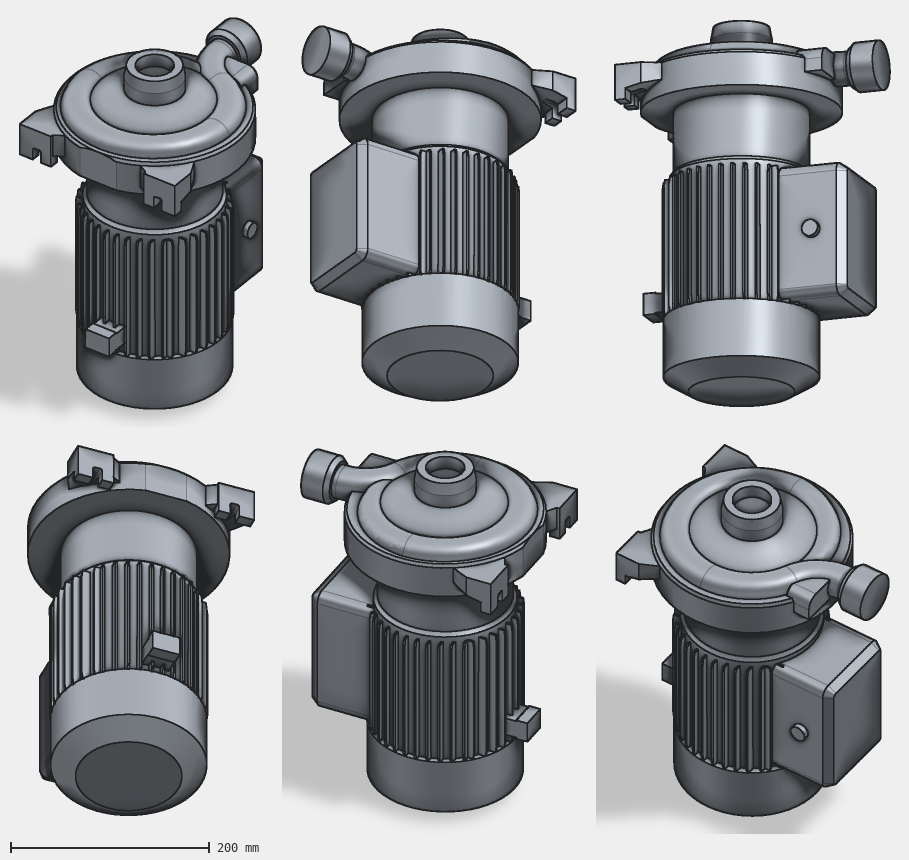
import cadquery as cq
import math


cowl_base_z = 15.0
cowl_top_z = 75.0
fins_top_z = 217.0
collar_edge_z = 223.0
collar_top_z = 227.0
flange_bottom_z = 292.0
flange_edge_z = 326.5
flange_top_z = 329.7
inlet_base_z = 352.0
inlet_taper_z = 367.0
total_height = 380.0

cowl_end_radius = 53.5
cowl_radius = 78.6
core_radius = 72.0
collar_radius = 72.4
bracket_radius = 68.6
flange_radius = 101.5
flange_chamfer_width = 2.5
inlet_radius = 31.0
inlet_tip_radius = 28.6
inlet_bore_radius = 19.5
inlet_bore_depth = 15.0

fin_count = 40
fin_thickness = 2.0
fin_circle_radius = 78.3
fin_bulge = 1.0
fin_end_length = 7.0
corner_fin_setback = 2.0

tube_radius = 17.4
volute_radius = 75.0
volute_left_radius = 78.0
volute_z = flange_edge_z
cover_cone_radius = 66.0
cover_cone_z = 337.6
tongue_section_count = 5
tongue_tube_radius = 12.0
tongue_path_radius = 71.0
discharge_angle = 66.0
coupling_radius = 25.3
coupling_neck_radius = 21.0
coupling_start_y = 120.0
coupling_chamfer_length = 5.5
discharge_end_y = 150.0

web_left_x = 15.0
web_right_x = 52.0
web_front_y = 77.7
web_back_y = 105.8
web_bottom_z = 312.0
web_top_z = 338.0
web_round_radius = 12.5

foot_face_y = -100.0
flange_flat_y = -99.0
foot_bottom_z = 289.6
foot_slot_x = 74.5
foot_slot_width = 10.0
foot_slot_top_z = 304.0
foot_slot_round = 3.0
foot_leg_back_y = -89.0
foot_outer_x = -95.6
foot_inner_x = -57.0
foot_side_y = -72.3
foot_back_x = -86.3
foot_root_x = -60.0
foot_gusset_x = -46.6
foot_gusset_back_y = -90.7
foot_gusset_front_y = -96.8
foot_back_y = -52.7
foot_shelf_front_z = 301.0
foot_shelf_back_z = 309.0

box_half_width = 48.0
box_front_y = 58.0
box_back_y = 129.0
box_bottom_z = 78.3
box_round_radius = 10.0
box_chamfer_depth = 9.2
box_chamfer_width = 6.5
gland_radius = 8.5
gland_end_x = 54.2

block_width = 29.0
block_bottom_z = 86.3
block_height = 22.4
block_step_y = -87.3
block_step_depth = 1.3


def box_between(x0, x1, y0, y1, z0, z1):
    return cq.Workplane("XY").box(x1 - x0, y1 - y0, z1 - z0, centered=False).translate((x0, y0, z0))


def turned_body():
    """Everything that is turned about the motor axis, except the volute."""
    profile = [
        (0, 0),
        (cowl_end_radius, 0),
        (cowl_radius, cowl_base_z),
        (cowl_radius, cowl_top_z),
        (core_radius, cowl_top_z),
        (collar_radius, collar_edge_z),
        (bracket_radius, collar_top_z),
        (bracket_radius, flange_bottom_z),
        (flange_radius, flange_bottom_z),
        (flange_radius, flange_edge_z),
        (flange_radius - flange_chamfer_width, flange_top_z),
        (cover_cone_radius, flange_top_z),
        (cover_cone_radius, cover_cone_z),
        (inlet_radius, inlet_base_z),
        (inlet_radius, inlet_taper_z),
        (inlet_tip_radius, total_height),
        (0, total_height),
    ]
    body = cq.Workplane("XZ").polyline(profile).close().revolve(360, (0, 0, 0), (0, 1, 0))
    flat = box_between(
        -flange_radius, flange_radius, -2 * flange_radius, flange_flat_y, flange_bottom_z, flange_top_z
    )
    return body.cut(flat)


def fin_plate(offset, half_length):
    """Fin across the motor at X = offset, its two flat tips bulging slightly between the ends."""
    bulged = half_length + fin_bulge
    lower_bend_z = cowl_top_z + fin_end_length
    upper_bend_z = fins_top_z - fin_end_length
    outline = [
        (-half_length, cowl_top_z),
        (half_length, cowl_top_z),
        (bulged, lower_bend_z),
        (bulged, upper_bend_z),
        (half_length, fins_top_z),
        (-half_length, fins_top_z),
        (-bulged, upper_bend_z),
        (-bulged, lower_bend_z),
    ]
    plate = cq.Workplane("YZ").polyline(outline).close().extrude(fin_thickness / 2, both=True)
    return plate.translate((offset, 0, 0))


def cooling_fins():
    """Four groups of parallel fins that follow the round of the motor."""
    pitch = 360 / fin_count
    fins_per_half_group = fin_count // 8
    fins = cq.Workplane("XY")
    for index in range(fins_per_half_group):
        angle = math.radians(pitch * (index + 0.5))
        offset = fin_circle_radius * math.sin(angle)
        half_length = fin_circle_radius * math.cos(angle)
        if index == fins_per_half_group - 1:
            half_length -= corner_fin_setback
        for place in (-offset, offset):
            fin = fin_plate(place, half_length)
            fins = fins.add(fin).add(fin.rotate((0, 0, 0), (0, 0, 1), 90))
    return fins.combine()


def tube_section_plane(angle, path_radius):
    """Plane across the volute at an angle about the motor axis."""
    across = math.radians(angle)
    return cq.Plane(
        origin=(path_radius * math.cos(across), path_radius * math.sin(across), volute_z),
        xDir=(math.cos(across), math.sin(across), 0),
        normal=(-math.sin(across), math.cos(across), 0),
    )


def volute():
    """Tube round the front half and up to the discharge, with the tapering tongue at the back."""
    front_radius = (volute_radius + volute_left_radius) / 2
    front_tube = (
        cq.Workplane(tube_section_plane(180, volute_left_radius))
        .circle(tube_radius)
        .revolve(180, (-front_radius, 1, 0), (-front_radius, -1, 0))
    )
    rising_tube = (
        cq.Workplane(tube_section_plane(0, volute_radius))
        .circle(tube_radius)
        .revolve(discharge_angle, (-volute_radius, 1, 0), (-volute_radius, -1, 0))
    )
    sections = []
    for index in range(tongue_section_count):
        share = index / (tongue_section_count - 1)
        angle = 180 - share * (180 - discharge_angle)
        path_radius = volute_left_radius + share * (tongue_path_radius - volute_left_radius)
        radius = tube_radius + share * (tongue_tube_radius - tube_radius)
        section = cq.Workplane(tube_section_plane(angle, path_radius)).circle(radius)
        sections.append(section.wires().val())
    tongue = cq.Workplane(cq.Solid.makeLoft(sections))
    return front_tube.union(rising_tube).union(tongue)


def discharge_pipe():
    """Pipe bending off the volute to run along +Y at X = 0, with its coupling."""
    angle = math.radians(discharge_angle)
    bend_radius = volute_radius * math.cos(angle) / (1 - math.cos(angle))
    centre_distance = volute_radius + bend_radius
    bend_end_y = centre_distance * math.sin(angle)
    middle = math.radians(180 + discharge_angle / 2)
    bend_middle = (
        bend_radius + bend_radius * math.cos(middle),
        bend_end_y + bend_radius * math.sin(middle),
    )
    path = (
        cq.Workplane("XY", origin=(0, 0, volute_z))
        .moveTo(volute_radius * math.cos(angle), volute_radius * math.sin(angle))
        .threePointArc(bend_middle, (0, bend_end_y))
        .lineTo(0, discharge_end_y)
    )
    pipe = cq.Workplane(tube_section_plane(discharge_angle, volute_radius)).circle(tube_radius).sweep(path)
    coupling_profile = [
        (0, coupling_start_y),
        (coupling_neck_radius, coupling_start_y),
        (coupling_radius, coupling_start_y + coupling_chamfer_length),
        (coupling_radius, discharge_end_y),
        (0, discharge_end_y),
    ]
    coupling = (
        cq.Workplane("XY", origin=(0, 0, volute_z))
        .polyline(coupling_profile)
        .close()
        .revolve(360, (0, 0, 0), (0, 1, 0))
    )
    return pipe.union(coupling)


def discharge_web():
    """Web beside the pipe bend, with its long upper edge rounded."""
    web = box_between(web_left_x, web_right_x, web_front_y, web_back_y, web_bottom_z, web_top_z)
    return web.edges("|Y and >X and >Z").fillet(web_round_radius)


def foot():
    """Left foot: an angled bracket with a slot open at its bottom end."""
    outline = [
        (foot_outer_x, foot_face_y),
        (foot_outer_x, foot_side_y),
        (foot_back_x, foot_back_y),
        (foot_root_x, foot_back_y),
        (foot_gusset_x, foot_gusset_back_y),
        (foot_inner_x, foot_gusset_front_y),
        (foot_inner_x, foot_face_y),
    ]
    side_profile = [
        (foot_face_y, foot_shelf_front_z),
        (foot_face_y, flange_edge_z),
        (foot_back_y, flange_edge_z),
        (foot_back_y, foot_shelf_back_z),
        (foot_leg_back_y, foot_shelf_front_z),
    ]
    height = flange_edge_z - foot_shelf_front_z
    bracket = cq.Workplane("XY", origin=(0, 0, foot_shelf_front_z)).polyline(outline).close().extrude(height)
    side = cq.Workplane("YZ").polyline(side_profile).close().extrude(-flange_radius)
    leg = box_between(
        foot_outer_x, foot_inner_x, foot_face_y, foot_leg_back_y, foot_bottom_z, flange_edge_z
    )
    slot = box_between(
        -foot_slot_x - foot_slot_width / 2,
        -foot_slot_x + foot_slot_width / 2,
        foot_face_y,
        foot_back_y,
        foot_bottom_z,
        foot_slot_top_z,
    )
    slot = slot.edges("|Y and >Z").fillet(foot_slot_round)
    return bracket.intersect(side).union(leg).cut(slot)


def terminal_box():
    box = box_between(
        -box_half_width, box_half_width, box_front_y, box_back_y, box_bottom_z, fins_top_z
    )
    box = box.edges("|Y").fillet(box_round_radius)
    box = box.faces(">Y").chamfer(box_chamfer_width, box_chamfer_depth)
    gland_y = (box_front_y + box_back_y) / 2
    gland_z = (box_bottom_z + fins_top_z) / 2
    gland = cq.Workplane("YZ").center(gland_y, gland_z).circle(gland_radius).extrude(gland_end_x)
    return box.union(gland)


def support_block():
    half_width = block_width / 2
    block_top_z = block_bottom_z + block_height
    head = box_between(-half_width, half_width, foot_face_y, block_step_y, block_bottom_z, block_top_z)
    stem = box_between(
        -half_width,
        half_width,
        block_step_y,
        -bracket_radius,
        block_bottom_z + block_step_depth,
        block_top_z - block_step_depth,
    )
    return head.union(stem)


def inlet_bore():
    floor_z = total_height - inlet_bore_depth
    return cq.Workplane("XY", origin=(0, 0, floor_z)).circle(inlet_bore_radius).extrude(inlet_bore_depth)


left_foot = foot()
result = (
    turned_body()
    .union(cooling_fins())
    .union(volute())
    .union(discharge_pipe())
    .union(discharge_web())
    .union(left_foot)
    .union(left_foot.mirror("YZ"))
    .union(terminal_box())
    .union(support_block())
    .cut(inlet_bore())
)